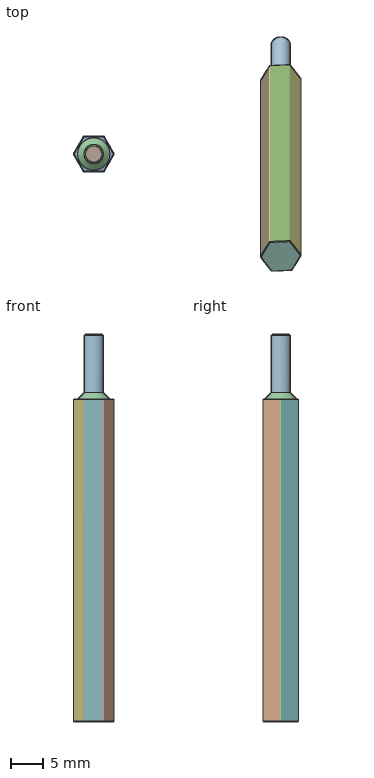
import cadquery as cq
import math

total_length = 60.0
stud_length = 10.0
stud_diameter = 3.0
stud_chamfer = 0.25
collar_base_diameter = 5.0
hex_across_flats = 5.5
hex_corner_radius = 0.15
hex_end_chamfer = 0.1

hex_length = total_length - stud_length
hex_corner_diameter = hex_across_flats / math.cos(math.pi / 6)
stud_radius = stud_diameter / 2
collar_base_radius = collar_base_diameter / 2
collar_height = collar_base_radius - stud_radius


def make_hex_body():
    """Hexagonal bar with slightly rounded corners and lightly chamfered ends."""
    body = cq.Workplane("XY").polygon(6, hex_corner_diameter).extrude(hex_length)
    body = body.edges("|Z").fillet(hex_corner_radius)
    return body.faces("<Z or >Z").chamfer(hex_end_chamfer)


def make_stud():
    """Chamfered round stud rising from a conical collar."""
    profile = [
        (0, hex_length),
        (collar_base_radius, hex_length),
        (stud_radius, hex_length + collar_height),
        (stud_radius, total_length - stud_chamfer),
        (stud_radius - stud_chamfer, total_length),
        (0, total_length),
    ]
    return cq.Workplane("XZ").polyline(profile).close().revolve(360, (0, 0), (0, 1))


result = make_hex_body().union(make_stud())